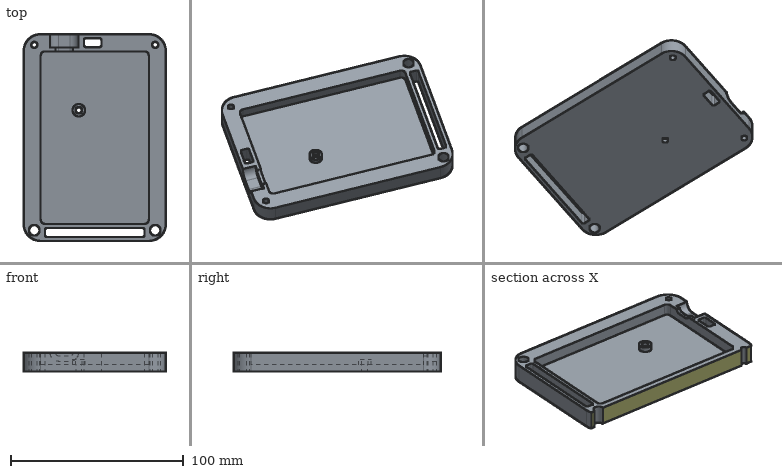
import cadquery as cq

length = 120.0
width = 82.5
height = 11.0
corner_radius = 10.0
rim = 10.0
pocket_depth = 7.0
pocket_radius = 2.5
floor = height - pocket_depth

hole_inset = 6.2
small_hole_diameter = 3.4
large_hole_diameter = 6.0

slot_width = 5.0
slot_radius = 1.0
long_slot_length = 57.5
short_slot_length = 10.0
short_slot_x = -1.2

notch_x = -17.6
notch_flat = 6.5
wide_notch_radius = 5.0
wide_notch_length = 7.7
narrow_notch_radius = 1.9

post_x = -9.2
post_y = 15.8
post_diameter = 7.2
post_height = 3.0
post_bore = 3.8
post_hole = 3.4


def rounded_block(x_size, y_size, z_size, radius, center):
    """Block standing on `center`, with rounded vertical edges."""
    block = cq.Workplane("XY").box(x_size, y_size, z_size, centered=(True, True, False))
    return block.edges("|Z").fillet(radius).translate(center)


def cylinder(x, y, z, diameter, z_size):
    return cq.Workplane("XY", origin=(x, y, z)).circle(diameter / 2).extrude(z_size)


def notch(radius, run):
    """Channel in the top face, entering from the +Y side."""
    profile = cq.Workplane("XZ", origin=(notch_x, length / 2, height))
    return profile.slot2D(notch_flat + 2 * radius, 2 * radius).extrude(run)


body = rounded_block(width, length, height, corner_radius, (0, 0, 0))
body = body.cut(
    rounded_block(width - 2 * rim, length - 2 * rim, pocket_depth, pocket_radius, (0, 0, floor))
)

hole_x = width / 2 - hole_inset
hole_y = length / 2 - hole_inset
for side in (-1, 1):
    body = body.cut(cylinder(side * hole_x, hole_y, 0, small_hole_diameter, height))
    body = body.cut(cylinder(side * hole_x, -hole_y, 0, large_hole_diameter, height))

slot_y = (length - rim) / 2
body = body.cut(rounded_block(long_slot_length, slot_width, height, slot_radius, (0, -slot_y, 0)))
body = body.cut(
    rounded_block(short_slot_length, slot_width, height, slot_radius, (short_slot_x, slot_y, 0))
)

body = body.cut(notch(wide_notch_radius, wide_notch_length))
body = body.cut(notch(narrow_notch_radius, rim))

body = body.union(cylinder(post_x, post_y, floor, post_diameter, post_height))
body = body.cut(cylinder(post_x, post_y, floor, post_bore, post_height))
body = body.cut(cylinder(post_x, post_y, 0, post_hole, floor))

result = body